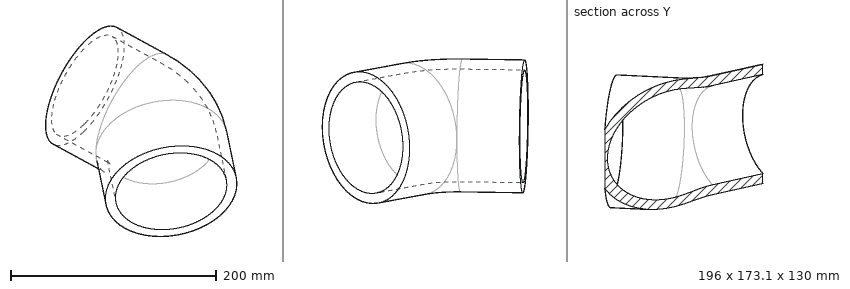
import cadquery as cq
import math

overall_length = 196.0
outer_diameter = 130.0
bore_diameter = 110.0
bend_angle = 45.0
inner_bend_radius = 0.2

outer_radius = outer_diameter / 2
bend_radius = inner_bend_radius + outer_radius
angle = math.radians(bend_angle)

bend_reach = (bend_radius + outer_radius) * math.sin(angle)
leg_length = (overall_length - bend_reach) / (1 + math.cos(angle))


def elbow(diameter):
    """Solid leg, bend and second leg of one diameter; the bend starts at the origin."""
    profile = cq.Workplane("YZ").circle(diameter / 2)
    first_leg = profile.extrude(-leg_length)

    bend = cq.Workplane("YZ").circle(diameter / 2).revolve(
        bend_angle, (-bend_radius, 2), (-bend_radius, 0)
    )

    second_leg = (
        cq.Workplane("YZ")
        .circle(diameter / 2)
        .extrude(leg_length)
        .rotate((0, -bend_radius, 0), (0, -bend_radius, 1), -bend_angle)
    )
    return first_leg.union(bend).union(second_leg)


result = elbow(outer_diameter).cut(elbow(bore_diameter))